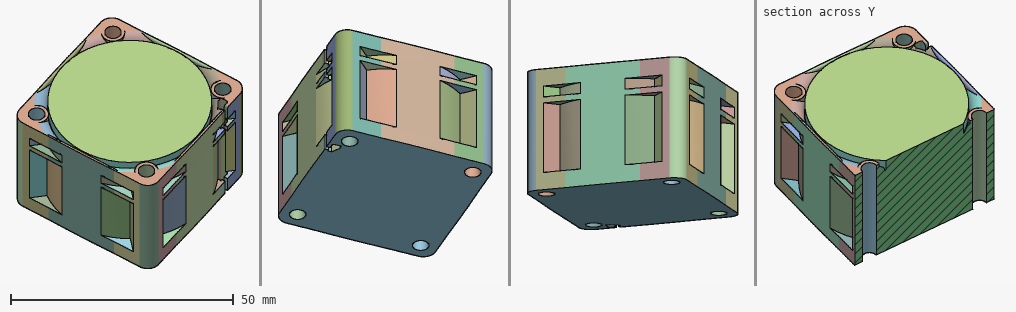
import cadquery as cq
import math

SIDE = 38.0
HALF_SIDE = SIDE / 2
HEIGHT = 28.0
CORNER_RADIUS = 3.0
BULGE_HALF_LENGTH = 8.95
BULGE_RISE = 0.105

FLANGE_HEIGHT = 4.0
TOP_FLANGE_BOTTOM = HEIGHT - FLANGE_HEIGHT
RIB_BOTTOM = 20.1
RIB_TOP = 21.5

DUCT_RADIUS = 19.8
CORNER_WEB_WIDTH = 6.8

HOLE_OFFSET = 15.0
HOLE_RADIUS = 1.85
BOSS_RADIUS = 2.65

ROTOR_RADIUS = 18.4
ROTOR_RISE = 0.1
THROAT_RADIUS = 18.5
BELL_RADIUS = 2.85
BELL_FLOOR = HEIGHT - BELL_RADIUS
INLET_WIDTH = 36.6
EDGE_ROUND = 0.5

NOTCH_X_MIN = 16.0
NOTCH_X_MAX = 18.1
NOTCH_Y_MIN = 9.8
NOTCH_Y_MAX = 12.6
NOTCH_CORNER_RADIUS = 0.3
SLOT_Y_MIN = 10.2
SLOT_Y_MAX = 11.1


def disc(radius, bottom, top):
    """Cylinder on the Z axis between two heights."""
    return cq.Workplane("XY", origin=(0, 0, bottom)).circle(radius).extrude(top - bottom)


def box_between(x_range, y_range, z_range):
    """Axis-aligned box given by its limits along X, Y and Z."""
    sizes = [limits[1] - limits[0] for limits in (x_range, y_range, z_range)]
    origin = (x_range[0], y_range[0], z_range[0])
    return cq.Workplane("XY", origin=origin).box(*sizes, centered=False)


def plate(bottom, top):
    """Square with round corners and a slight outward bow in the middle of each side."""
    base = cq.Workplane("XY", origin=(0, 0, bottom))
    body = base.rect(SIDE, SIDE).extrude(top - bottom).edges("|Z").fillet(CORNER_RADIUS)
    bow = (
        base.moveTo(-BULGE_HALF_LENGTH, HALF_SIDE)
        .threePointArc((0, HALF_SIDE + BULGE_RISE), (BULGE_HALF_LENGTH, HALF_SIDE))
        .lineTo(0, 0)
        .close()
        .extrude(top - bottom)
    )
    for turn in range(4):
        body = body.union(bow.rotate((0, 0, 0), (0, 0, 1), 90 * turn))
    return body


def duct_section():
    """Round duct and diagonal corner webs between the two flanges."""
    span = TOP_FLANGE_BOTTOM - FLANGE_HEIGHT
    section = disc(DUCT_RADIUS, FLANGE_HEIGHT, TOP_FLANGE_BOTTOM)
    web = cq.Workplane("XY", origin=(0, 0, FLANGE_HEIGHT)).rect(2 * SIDE, CORNER_WEB_WIDTH).extrude(span)
    for angle in (45, 135):
        section = section.union(web.rotate((0, 0, 0), (0, 0, 1), angle))
    return section.intersect(plate(FLANGE_HEIGHT, TOP_FLANGE_BOTTOM))


def corner_cylinders(radius, bottom, top):
    """One vertical cylinder on each screw axis."""
    return (
        cq.Workplane("XY", origin=(0, 0, bottom))
        .rect(2 * HOLE_OFFSET, 2 * HOLE_OFFSET, forConstruction=True)
        .vertices()
        .circle(radius)
        .extrude(top - bottom)
    )


def inlet_walls():
    """Side walls with a rounded inner top edge, opened to the throat mid-side."""
    base = cq.Workplane("XY", origin=(0, 0, BELL_FLOOR))
    opening = base.rect(INLET_WIDTH, INLET_WIDTH).extrude(BELL_RADIUS)
    walls = base.rect(2 * SIDE, 2 * SIDE).extrude(BELL_RADIUS).cut(opening)
    inner_zone = cq.selectors.BoxSelector((-HALF_SIDE, -HALF_SIDE, 0), (HALF_SIDE, HALF_SIDE, 2 * HEIGHT))
    walls = walls.faces(">Z").edges(inner_zone).fillet(EDGE_ROUND)
    return walls.cut(disc(THROAT_RADIUS, BELL_FLOOR, HEIGHT))


def inlet_recess():
    """Bell-mouth ring around the rotor, limited by the side walls and screw bosses."""
    rim_radius = THROAT_RADIUS + BELL_RADIUS
    arc_inset = BELL_RADIUS * (1 - math.sqrt(0.5))
    bell = (
        cq.Workplane("XZ")
        .moveTo(ROTOR_RADIUS, BELL_FLOOR)
        .lineTo(THROAT_RADIUS, BELL_FLOOR)
        .threePointArc((THROAT_RADIUS + arc_inset, HEIGHT - arc_inset), (rim_radius, HEIGHT))
        .lineTo(ROTOR_RADIUS, HEIGHT)
        .close()
        .revolve(360, (0, 0), (0, 1))
    )
    return bell.cut(inlet_walls()).cut(corner_cylinders(BOSS_RADIUS, BELL_FLOOR, HEIGHT))


def cable_notch():
    """Pocket outside the duct wall, running the full height of the housing."""
    pocket = box_between((NOTCH_X_MIN, NOTCH_X_MAX), (NOTCH_Y_MIN, NOTCH_Y_MAX), (0, HEIGHT))
    pocket = pocket.faces(">Y").edges("|Z").fillet(NOTCH_CORNER_RADIUS)
    return pocket.cut(disc(DUCT_RADIUS, 0, HEIGHT))


def cable_slot():
    """Full-height slot from the notch to the +X side, its top edges rounded over."""
    x_range = (NOTCH_X_MAX, SIDE)
    slot = box_between(x_range, (SLOT_Y_MIN, SLOT_Y_MAX), (0, HEIGHT))
    round_bottom = HEIGHT - EDGE_ROUND
    flare = box_between(x_range, (SLOT_Y_MIN - EDGE_ROUND, SLOT_Y_MAX + EDGE_ROUND), (round_bottom, HEIGHT))
    for y_center in (SLOT_Y_MIN - EDGE_ROUND, SLOT_Y_MAX + EDGE_ROUND):
        lip = cq.Workplane("YZ", origin=(0, y_center, round_bottom)).circle(EDGE_ROUND).extrude(SIDE)
        flare = flare.cut(lip)
    return slot.union(flare)


housing = plate(0, FLANGE_HEIGHT).union(duct_section())
housing = housing.union(plate(RIB_BOTTOM, RIB_TOP))
housing = housing.union(plate(TOP_FLANGE_BOTTOM, HEIGHT))
housing = housing.cut(inlet_recess())
housing = housing.cut(corner_cylinders(HOLE_RADIUS, 0, HEIGHT))
housing = housing.cut(cable_notch()).cut(cable_slot())
result = housing.union(disc(ROTOR_RADIUS, BELL_FLOOR, HEIGHT + ROTOR_RISE))